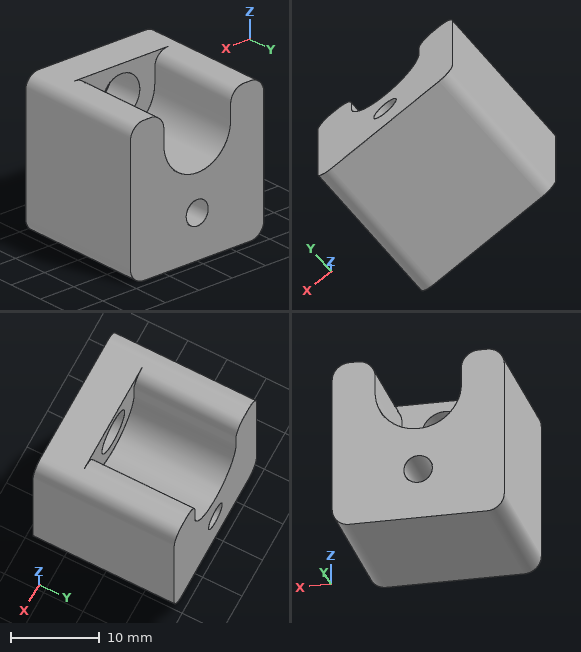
import cadquery as cq

width = 20.0
depth = 18.0
height = 20.0
corner_radius = 2.0

channel_radius = 5.0
channel_axis_z = 16.0
lip_radius = 2.0
front_wall = 5.0

upper_hole_diameter = 5.5
lower_hole_diameter = 3.3
lower_hole_z = 6.0


def make_block():
    """Rectangular block with its four long edges rounded."""
    block = cq.Workplane("XY").box(width, depth, height, centered=(True, False, False))
    return block.edges("|Y").fillet(corner_radius)


def make_channel():
    """Cutter for the channel, flaring outward at the top to round the lips."""
    lip_start_z = height - lip_radius
    mouth_half_width = channel_radius + lip_radius
    lip_mid = lip_radius * (1 - 0.5 ** 0.5)
    profile = (
        cq.Workplane("XZ", origin=(0, depth, 0))
        .moveTo(-channel_radius, channel_axis_z)
        .threePointArc((0, channel_axis_z - channel_radius), (channel_radius, channel_axis_z))
        .lineTo(channel_radius, lip_start_z)
        .threePointArc((channel_radius + lip_mid, height - lip_mid), (mouth_half_width, height))
        .lineTo(-mouth_half_width, height)
        .threePointArc((-channel_radius - lip_mid, height - lip_mid), (-channel_radius, lip_start_z))
        .close()
    )
    return profile.extrude(depth - front_wall)


def make_hole(diameter, center_z):
    """Cutter for a round hole running the full depth of the block."""
    return cq.Workplane("XZ", origin=(0, depth, center_z)).circle(diameter / 2).extrude(depth)


result = (
    make_block()
    .cut(make_channel())
    .cut(make_hole(upper_hole_diameter, channel_axis_z))
    .cut(make_hole(lower_hole_diameter, lower_hole_z))
)